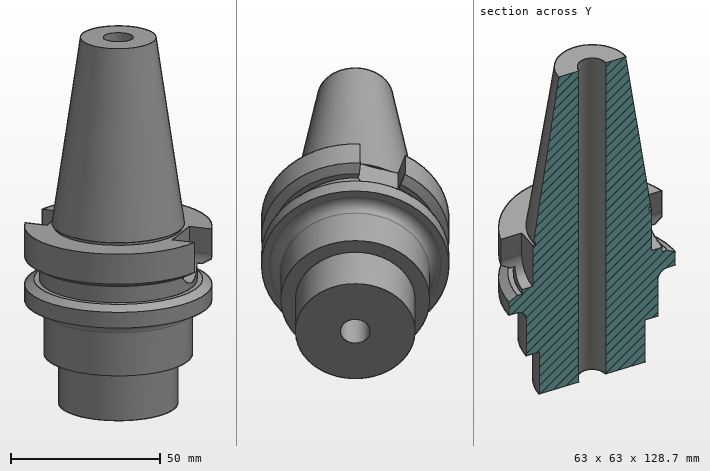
import cadquery as cq

TOTAL_HEIGHT = 128.7

NOSE_RADIUS = 20.1
NOSE_TOP = 17.4
BODY_RADIUS = 25.0
BODY_FILLET = 3.7

FLANGE_DIAMETER = 63.0
FLANGE_RADIUS = FLANGE_DIAMETER / 2
FLANGE_BOTTOM = 36.3
FLANGE_TOP = 62.3
GROOVE_RADIUS = 26.5
GROOVE_MOUTH_RADIUS = 28.3
GROOVE_BOTTOM = 43.6
GROOVE_TOP = 50.0
GROOVE_CHAMFER_HEIGHT = 1.8

TAPER_RATIO = 7 / 24
TAPER_BASE_RADIUS = 22.3
TAPER_BASE = 63.3
RELIEF_RADIUS = 21.6
TAPER_TOP_RADIUS = TAPER_BASE_RADIUS - (TOTAL_HEIGHT - TAPER_BASE) * TAPER_RATIO / 2

BORE_RADIUS = 5.0

SLOT_WIDTH = 16.0
SLOT_FLOOR_X = 22.5
SLOT_BOTTOM = 45.5


def turned_body():
    """Revolve the outer half-profile, drawn as (radius, height), about Z."""
    fillet_mid_offset = BODY_FILLET * (1 - 0.5 ** 0.5)
    fillet_mid = (BODY_RADIUS + fillet_mid_offset, FLANGE_BOTTOM - fillet_mid_offset)
    profile = (
        cq.Workplane("XZ")
        .lineTo(NOSE_RADIUS, 0)
        .lineTo(NOSE_RADIUS, NOSE_TOP)
        .lineTo(BODY_RADIUS, NOSE_TOP)
        .lineTo(BODY_RADIUS, FLANGE_BOTTOM - BODY_FILLET)
        .threePointArc(fillet_mid, (BODY_RADIUS + BODY_FILLET, FLANGE_BOTTOM))
        .lineTo(FLANGE_RADIUS, FLANGE_BOTTOM)
        .lineTo(FLANGE_RADIUS, GROOVE_BOTTOM - GROOVE_CHAMFER_HEIGHT)
        .lineTo(GROOVE_MOUTH_RADIUS, GROOVE_BOTTOM)
        .lineTo(GROOVE_RADIUS, GROOVE_BOTTOM)
        .lineTo(GROOVE_RADIUS, GROOVE_TOP)
        .lineTo(GROOVE_MOUTH_RADIUS, GROOVE_TOP)
        .lineTo(FLANGE_RADIUS, GROOVE_TOP + GROOVE_CHAMFER_HEIGHT)
        .lineTo(FLANGE_RADIUS, FLANGE_TOP)
        .lineTo(RELIEF_RADIUS, FLANGE_TOP)
        .lineTo(RELIEF_RADIUS, TAPER_BASE)
        .lineTo(TAPER_BASE_RADIUS, TAPER_BASE)
        .lineTo(TAPER_TOP_RADIUS, TOTAL_HEIGHT)
        .lineTo(0, TOTAL_HEIGHT)
        .close()
    )
    return profile.revolve(360, (0, 0), (0, 1))


def drive_slot(side):
    """Round-bottomed slot cutter, open upward and outward; side is +1 or -1 along X."""
    half_width = SLOT_WIDTH / 2
    arc_center_z = SLOT_BOTTOM + half_width
    return (
        cq.Workplane("YZ", origin=(side * SLOT_FLOOR_X, 0, 0))
        .moveTo(-half_width, FLANGE_TOP)
        .lineTo(-half_width, arc_center_z)
        .threePointArc((0, SLOT_BOTTOM), (half_width, arc_center_z))
        .lineTo(half_width, FLANGE_TOP)
        .close()
        .extrude(side * FLANGE_RADIUS)
    )


def through_bore():
    return cq.Workplane("XY").circle(BORE_RADIUS).extrude(TOTAL_HEIGHT)


result = turned_body().cut(through_bore())
for slot_side in (-1, 1):
    result = result.cut(drive_slot(slot_side))